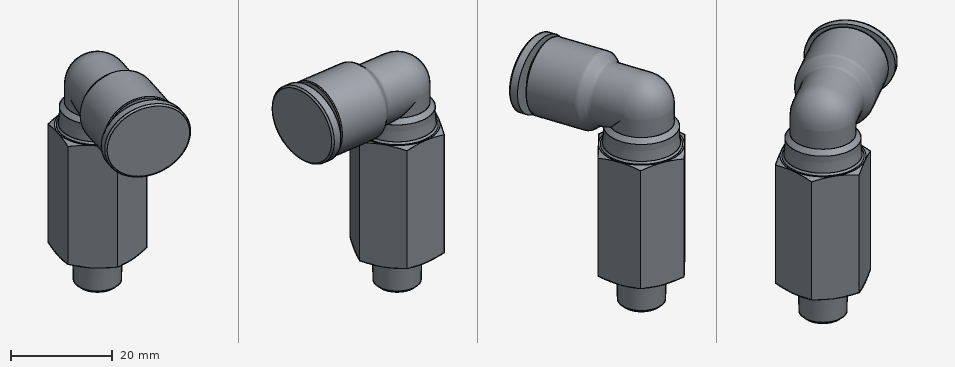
import cadquery as cq
import math

outlet_z = 44.8
elbow_radius = 6.5

stud_length = 8.0
stud_top_radius = 4.9
stud_bottom_radius = 4.75
stud_chamfer_height = 0.75
stud_chamfer_width = 0.8

hex_across_flats = 17.0
hex_top = 35.7
hex_chamfer_height = 0.55
hex_face_radius = 8.45
hex_corner_radius = hex_across_flats / math.sqrt(3)

flare_height = 0.4
flare_radius = 8.1
collar_bottom_radius = 7.75
collar_radius = 7.5
collar_taper_top = 38.3
collar_straight_top = 39.8
collar_top = 40.8

shoulder_start = 8.0
shoulder_end = 9.95
shoulder_blend = 1.0
socket_radius = 8.15
socket_end = 21.75
socket_chamfer = 0.2

neck_radius = 5.9
flange_start = 22.95
flange_end = 25.0
flange_width = 18.5
flange_height = 16.1
flange_chamfer = 0.35


def revolve_about_z(profile):
    """Solid of revolution about Z from (radius, height) points, closed along the axis."""
    points = [(0, profile[0][1])] + profile + [(0, profile[-1][1])]
    return cq.Workplane("XZ").polyline(points).close().revolve(360, (0, 0), (0, 1))


def make_stud():
    return revolve_about_z([
        (stud_bottom_radius - stud_chamfer_width, 0),
        (stud_bottom_radius, stud_chamfer_height),
        (stud_top_radius, stud_length),
    ])


def make_hexagon():
    prism = (
        cq.Workplane("XY", origin=(0, 0, stud_length))
        .polygon(6, 2 * hex_corner_radius)
        .extrude(hex_top - stud_length)
    )
    chamfer_envelope = revolve_about_z([
        (hex_face_radius, stud_length),
        (hex_corner_radius, stud_length + hex_chamfer_height),
        (hex_corner_radius, hex_top - hex_chamfer_height),
        (hex_face_radius, hex_top),
    ])
    return prism.intersect(chamfer_envelope)


def make_collar():
    return revolve_about_z([
        (flare_radius, hex_top),
        (collar_bottom_radius, hex_top + flare_height),
        (collar_radius, collar_taper_top),
        (collar_radius, collar_straight_top),
        (elbow_radius, collar_top),
    ])


def make_elbow_riser():
    """Upright leg of the elbow, with a ball rounding its outer corner."""
    leg = cq.Workplane("XY", origin=(0, 0, hex_top)).circle(elbow_radius).extrude(outlet_z - hex_top)
    ball = cq.Workplane("XY", origin=(0, 0, outlet_z)).sphere(elbow_radius)
    return leg.union(ball)


def make_outlet():
    """Horizontal leg of the elbow with its socket and the neck of the button."""
    profile = [
        (0, 0),
        (0, elbow_radius),
        (shoulder_start, elbow_radius),
        (shoulder_end, socket_radius),
        (socket_end - socket_chamfer, socket_radius),
        (socket_end, socket_radius - socket_chamfer),
        (socket_end, neck_radius),
        (flange_start, neck_radius),
        (flange_start, 0),
    ]
    outlet = (
        cq.Workplane("XZ", origin=(0, 0, outlet_z))
        .polyline(profile)
        .close()
        .revolve(360, (0, 0), (1, 0))
    )
    margin = shoulder_blend / 2
    shoulder_edges = cq.selectors.BoxSelector(
        (shoulder_start - margin, -margin, outlet_z - margin),
        (shoulder_end + margin, margin, outlet_z + margin),
    )
    return outlet.edges("%CIRCLE").edges(shoulder_edges).fillet(shoulder_blend)


def make_flange():
    return (
        cq.Workplane("YZ", origin=(flange_start, 0, outlet_z))
        .ellipse(flange_width / 2, flange_height / 2)
        .extrude(flange_end - flange_start)
        .faces(">X")
        .edges()
        .chamfer(flange_chamfer)
    )


result = (
    make_stud()
    .union(make_hexagon())
    .union(make_collar())
    .union(make_elbow_riser())
    .union(make_outlet())
    .union(make_flange())
)